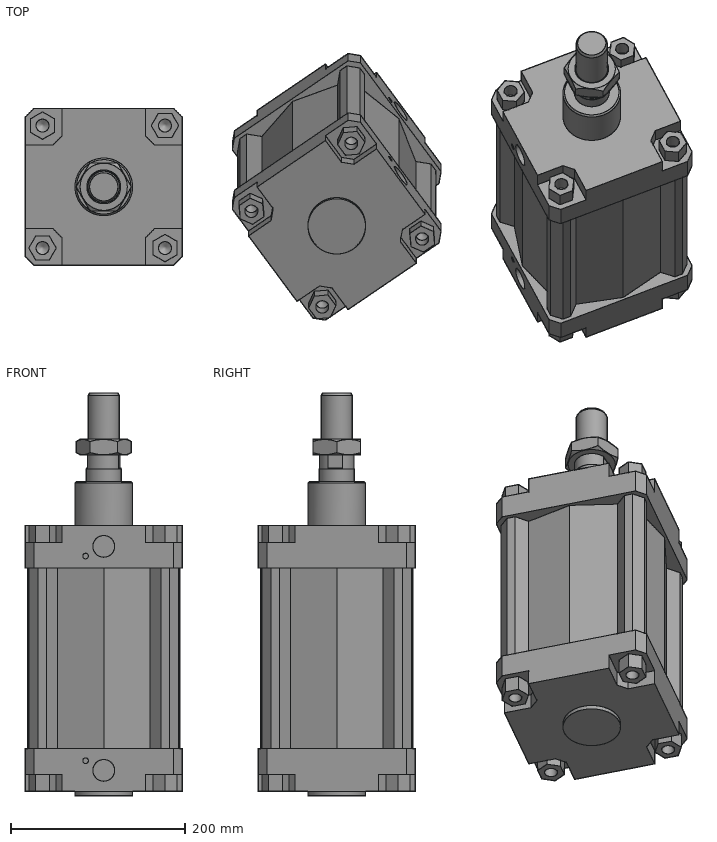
import cadquery as cq
import math

TOTAL_HEIGHT = 462.0
BOSS_HEIGHT = 5.0
CAP_HEIGHT = 49.0
BARREL_LENGTH = 207.0
COLLAR_HEIGHT = 50.5
REAR_CAP_TOP = BOSS_HEIGHT + CAP_HEIGHT
FRONT_CAP_BOTTOM = REAR_CAP_TOP + BARREL_LENGTH
FRONT_CAP_TOP = FRONT_CAP_BOTTOM + CAP_HEIGHT

CAP_WIDTH = 180.0
CAP_HALF = CAP_WIDTH / 2
CAP_CHAMFER = 10.0
POCKET_SIZE = 42.0
POCKET_CHAMFER = 10.0
POCKET_DEPTH = 19.5

COLLAR_DIAMETER = 66.0
COLLAR_CHAMFER = 2.0

BOLT_OFFSET = 70.0
BOLT_FLATS = 27.3
BOLT_HOLE_DIAMETER = 15.0
BOLT_HOLE_DEPTH = POCKET_DEPTH
DRILL_POINT_ANGLE = 118.0

PORT_DIAMETER = 25.0
PORT_DEPTH = 27.5
PORT_SETBACK = 24.0
SMALL_HOLE_DIAMETER = 6.5
SMALL_HOLE_DEPTH = 14.0
SMALL_HOLE_SETBACK = 35.0
SMALL_HOLE_X = -21.0

POST_FACE = 86.0
POST_CORNER = 75.5
POST_SHOULDER = 65.5
POST_ROOT = 53.0
SIDE_PEAK = 87.5

ROD_DIAMETER = 40.0
NECK_DIAMETER = 39.7
NECK_BOTTOM = 374.5
NECK_FLATS = 36.0
ROD_TURN = -6.0
FLATS_BOTTOM = 376.0
THREAD_DIAMETER = 36.0
THREAD_BOTTOM = 391.0
THREAD_CHAMFER_LENGTH = 3.2
THREAD_CHAMFER_WIDTH = 2.0

HEX_SIDES = 6
QUARTERS = 4

NUT_FLATS = 55.0
NUT_HEIGHT = 18.0
NUT_BOTTOM = THREAD_BOTTOM
NUT_FACE_DIAMETER = 54.0
NUT_CHAMFER_ANGLE = 30.0
NUT_COUNTERSINK_DIAMETER = 39.0
NUT_COUNTERSINK_SLOPE = 45.0


def hex_prism(flats, height):
    """Upright hexagonal prism with two corners on the X axis."""
    corners = flats / math.cos(math.pi / HEX_SIDES)
    return cq.Workplane("XY").polygon(HEX_SIDES, corners).extrude(height)


def cylinder(diameter, bottom, height):
    return cq.Workplane("XY").workplane(offset=bottom).circle(diameter / 2).extrude(height)


def drill(diameter, depth):
    """Drill entering downward from Z = 0, full diameter to the given depth, with a conical tip."""
    radius = diameter / 2
    tip = radius / math.tan(math.radians(DRILL_POINT_ANGLE / 2))
    profile = [(0, 0), (radius, 0), (radius, -depth), (0, -depth - tip)]
    return cq.Workplane("XZ").polyline(profile).close().revolve(360, (0, 0), (0, 1))


def side_hole(diameter, depth, x, z):
    """Cutter for a blind hole entering the -Y side of a cap."""
    face = cq.Workplane("XZ", origin=(0, -CAP_HALF, 0))
    return face.center(x, z).circle(diameter / 2).extrude(-depth)


def end_cap():
    """Front cap with its outer face up at Z = 0: pockets, bolt heads, port and small hole."""
    cap = cq.Workplane("XY").workplane(offset=-CAP_HEIGHT).rect(CAP_WIDTH, CAP_WIDTH).extrude(CAP_HEIGHT)
    cap = cap.edges("|Z").chamfer(CAP_CHAMFER)

    pocket = cq.Workplane("XY").rect(2 * POCKET_SIZE, 2 * POCKET_SIZE).extrude(-POCKET_DEPTH)
    pocket = pocket.edges("|Z").chamfer(POCKET_CHAMFER)
    head = hex_prism(BOLT_FLATS, POCKET_DEPTH).translate((0, 0, -POCKET_DEPTH))
    bolt_hole = drill(BOLT_HOLE_DIAMETER, BOLT_HOLE_DEPTH)
    for quarter in range(QUARTERS):
        turn = 360 / QUARTERS * quarter
        center = (BOLT_OFFSET, BOLT_OFFSET, 0)
        cap = cap.cut(pocket.translate((CAP_HALF, CAP_HALF, 0)).rotate((0, 0, 0), (0, 0, 1), turn))
        cap = cap.union(head.translate(center).rotate((0, 0, 0), (0, 0, 1), turn))
        cap = cap.cut(bolt_hole.translate(center).rotate((0, 0, 0), (0, 0, 1), turn))

    cap = cap.cut(side_hole(PORT_DIAMETER, PORT_DEPTH, 0, -PORT_SETBACK))
    return cap.cut(side_hole(SMALL_HOLE_DIAMETER, SMALL_HOLE_DEPTH, SMALL_HOLE_X, -SMALL_HOLE_SETBACK))


def barrel():
    """Extruded profile between the caps, one quarter of the outline turned four times."""
    root_depth = POST_FACE - (POST_SHOULDER - POST_ROOT)
    quarter_points = [
        (SIDE_PEAK, 0),
        (root_depth, POST_ROOT),
        (POST_FACE, POST_SHOULDER),
        (POST_FACE, POST_CORNER),
        (POST_CORNER, POST_FACE),
        (POST_SHOULDER, POST_FACE),
        (POST_ROOT, root_depth),
    ]
    outline = []
    for quarter in range(QUARTERS):
        cosine = round(math.cos(quarter * math.pi / 2))
        sine = round(math.sin(quarter * math.pi / 2))
        for x, y in quarter_points:
            outline.append((x * cosine - y * sine, x * sine + y * cosine))
    base = cq.Workplane("XY").workplane(offset=REAR_CAP_TOP)
    return base.polyline(outline).close().extrude(BARREL_LENGTH)


def make_housing(rod):
    front_cap = end_cap().translate((0, 0, FRONT_CAP_TOP))
    rear_cap = end_cap().mirror("XY").translate((0, 0, BOSS_HEIGHT))
    collar = cylinder(COLLAR_DIAMETER, FRONT_CAP_TOP, COLLAR_HEIGHT).faces(">Z").chamfer(COLLAR_CHAMFER)
    boss = cylinder(COLLAR_DIAMETER, 0, BOSS_HEIGHT)
    housing = barrel().union(front_cap).union(rear_cap).union(collar).union(boss)
    return housing.cut(rod)


def make_rod():
    """Rod from the inner face of the front cap up to the threaded end, with two wrench flats on its neck."""
    shank = cylinder(ROD_DIAMETER, FRONT_CAP_BOTTOM, NECK_BOTTOM - FRONT_CAP_BOTTOM)
    neck = cylinder(NECK_DIAMETER, NECK_BOTTOM, THREAD_BOTTOM - NECK_BOTTOM)
    flats_height = THREAD_BOTTOM - FLATS_BOTTOM
    flats_base = cq.Workplane("XY").workplane(offset=FLATS_BOTTOM)
    outside_flats = flats_base.rect(2 * NECK_DIAMETER, 2 * NECK_DIAMETER).extrude(flats_height)
    between_flats = flats_base.rect(NECK_FLATS, 2 * NECK_DIAMETER).extrude(flats_height)
    neck = neck.cut(outside_flats.cut(between_flats))
    thread = cylinder(THREAD_DIAMETER, THREAD_BOTTOM, TOTAL_HEIGHT - THREAD_BOTTOM)
    thread = thread.faces(">Z").chamfer(THREAD_CHAMFER_LENGTH, THREAD_CHAMFER_WIDTH)
    return shank.union(neck).union(thread).rotate((0, 0, 0), (0, 0, 1), ROD_TURN)


def make_nut(rod):
    """Hexagon nut with its corners turned off conically at both ends."""
    face_radius = NUT_FACE_DIAMETER / 2
    corner_radius = NUT_FLATS / 2 / math.cos(math.pi / HEX_SIDES)
    drop = (corner_radius - face_radius) * math.tan(math.radians(NUT_CHAMFER_ANGLE))
    profile = [
        (0, 0),
        (face_radius, 0),
        (corner_radius, drop),
        (corner_radius, NUT_HEIGHT - drop),
        (face_radius, NUT_HEIGHT),
        (0, NUT_HEIGHT),
    ]
    turned = cq.Workplane("XZ").polyline(profile).close().revolve(360, (0, 0), (0, 1))
    nut = hex_prism(NUT_FLATS, NUT_HEIGHT).intersect(turned)
    countersink = cq.Workplane("XY").workplane(offset=NUT_HEIGHT).circle(NUT_COUNTERSINK_DIAMETER / 2)
    nut = nut.cut(countersink.extrude(-NUT_HEIGHT, taper=NUT_COUNTERSINK_SLOPE))
    return nut.translate((0, 0, NUT_BOTTOM)).cut(rod)


piston_rod = make_rod()
housing = make_housing(piston_rod)
lock_nut = make_nut(piston_rod)

result = cq.Compound.makeCompound([housing.val(), piston_rod.val(), lock_nut.val()])